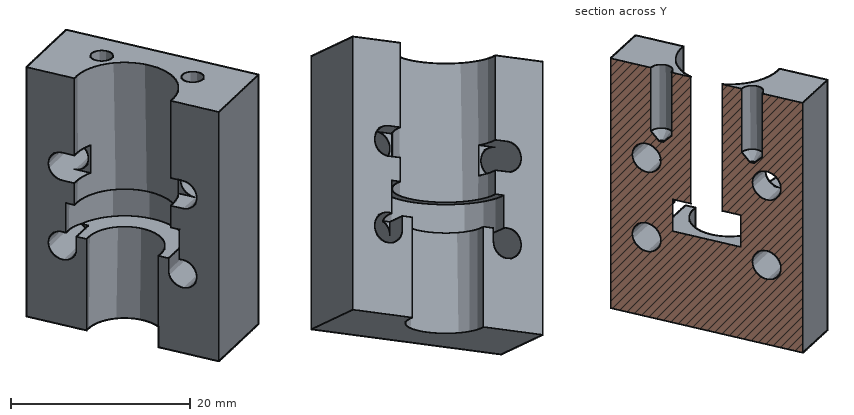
import cadquery as cq

WIDTH = 24.0
DEPTH = 10.0
HEIGHT = 31.5

BORE_AXIS_Y = 0.5
LOWER_BORE_RADIUS = 4.5
UPPER_BORE_RADIUS = 6.02
GROOVE_RADIUS = 7.1
GROOVE_BOTTOM = 11.55
GROOVE_TOP = 15.5

CLAMP_X = 7.5
CLAMP_RADIUS = 1.748
LOWER_CLAMP_Z = 10.02
UPPER_CLAMP_Z = 20.0

POCKET_DEPTH = 3.0

TOP_HOLE_X = 5.67
TOP_HOLE_Y = 6.17
TOP_HOLE_RADIUS = 1.25
TOP_HOLE_DEPTH = 8.0
TIP_RADIUS = 0.25
TIP_LENGTH = TOP_HOLE_RADIUS - TIP_RADIUS


def bore_section(radius, bottom, top):
    """Vertical cylinder on the bore axis."""
    section = cq.Workplane("XY", origin=(0, BORE_AXIS_Y, bottom))
    return section.circle(radius).extrude(top - bottom)


def clamp_hole(x, z):
    """Cylinder along Y through the whole depth."""
    return cq.Workplane("XZ", origin=(x, 0, z)).circle(CLAMP_RADIUS).extrude(-DEPTH)


def pocket(side, inner_x, bottom, top):
    """Box from the clamp hole centre inward to inner_x, sunk from the split face."""
    length = CLAMP_X - inner_x
    box = cq.Workplane("XY").box(length, POCKET_DEPTH, top - bottom, centered=(True, False, False))
    return box.translate((side * (CLAMP_X + inner_x) / 2, 0, bottom))


def top_hole(x):
    """Round blind hole narrowing to a small flat at its end."""
    cone_start = HEIGHT - TOP_HOLE_DEPTH
    profile = (
        cq.Workplane("XZ")
        .moveTo(0, HEIGHT)
        .lineTo(TOP_HOLE_RADIUS, HEIGHT)
        .lineTo(TOP_HOLE_RADIUS, cone_start)
        .lineTo(TIP_RADIUS, cone_start - TIP_LENGTH)
        .lineTo(0, cone_start - TIP_LENGTH)
        .close()
    )
    return profile.revolve(360, (0, 0), (0, 1)).translate((x, TOP_HOLE_Y, 0))


result = cq.Workplane("XY").box(WIDTH, DEPTH, HEIGHT, centered=(True, False, False))

result = result.cut(bore_section(LOWER_BORE_RADIUS, 0, GROOVE_BOTTOM))
result = result.cut(bore_section(GROOVE_RADIUS, GROOVE_BOTTOM, GROOVE_TOP))
result = result.cut(bore_section(UPPER_BORE_RADIUS, GROOVE_TOP, HEIGHT))

for side in (-1, 1):
    for clamp_z in (LOWER_CLAMP_Z, UPPER_CLAMP_Z):
        result = result.cut(clamp_hole(side * CLAMP_X, clamp_z))

    upper_bottom = UPPER_CLAMP_Z - CLAMP_RADIUS
    upper_top = UPPER_CLAMP_Z + CLAMP_RADIUS
    result = result.cut(pocket(side, LOWER_BORE_RADIUS, upper_bottom, upper_top))

    hole_inner_x = CLAMP_X - CLAMP_RADIUS
    result = result.cut(pocket(side, hole_inner_x, LOWER_CLAMP_Z, GROOVE_BOTTOM))

    result = result.cut(top_hole(side * TOP_HOLE_X))